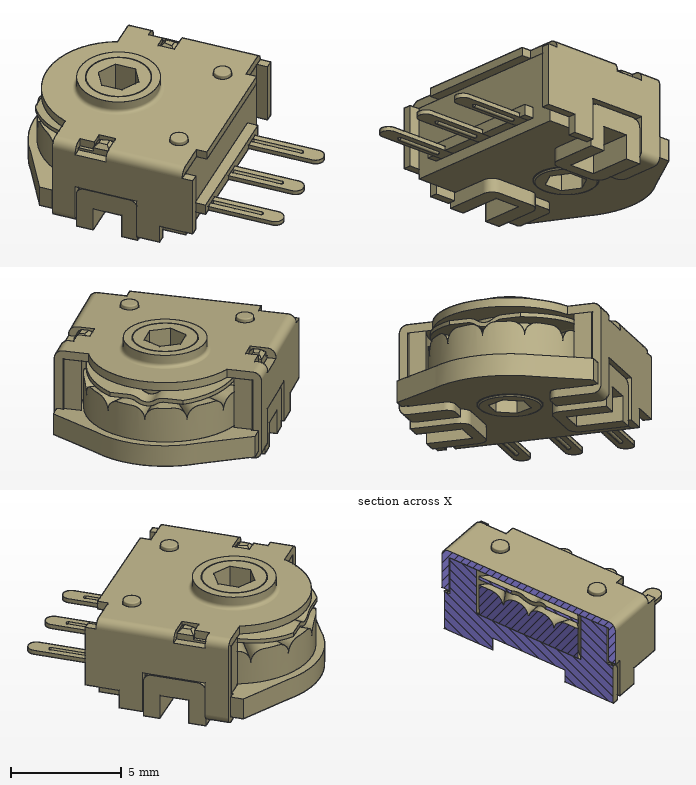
import cadquery as cq
import math


clearance = 0.03

sheet = 0.4
cover_top = 3.92
cover_width = 9.7
cover_front = -1.32
cover_rear = 5.5
plate_rear = 4.99
tongue_width = 6.16
visor_radius = 3.5
step_x = 3.89
step_z = 0.51
wall_bottom = -0.39
window_front = -0.21
window_rear = 2.78
window_top = 1.62
flap_inner_y = 2.29
flap_corner_radius = 0.39
flap_bend_radius = 0.38
hub_diameter = 3.8
hub_top = 4.52
hub_fillet = 0.18

plate_thickness = 1.03
base_front_radius = 4.1
base_ear_half_width = 4.72
base_ear_front = -1.99
base_ear_rear = -1.39
base_bevel_half_width = 2.38
base_half_width = 4.39
cavity_radius = 3.8
foot_bottom = -0.68
foot_top = 1.49
foot_inner_y = 1.96
foot_top_radius = 0.39
foot_inner_radius = 0.52
foot_slot_front = 0.62
foot_slot_rear = 1.99
foot_slot_top = 0.51
foot_slot_inner_y = 2.5
ledge_half_width = 3.25

post_front = 0.48
post_rear = 1.28
post_inner_y = 3.64
post_top = 3.9
post_chamfer = 0.2
relief_inner_y = 4.23
relief_bottom = 3.43

peg_diameter = 0.8
peg_x = 4.0
peg_y = 2.7
peg_top = 4.09
peg_fillet = 0.05

rotor_diameter = 7.4
rotor_disc_top = 2.72
shaft_diameter = 4.15
journal_diameter = 2.95
journal_bottom = -0.09
journal_chamfer = 0.07
hexagon_flats = 1.7
notch_count = 12
notch_radius = 0.62

spring_thickness = 0.2
spring_peak = 3.46
spring_slope = 0.1
spring_half_length = 3.38
spring_side_radius = 3.5
spring_hole_radius = 2.33
spring_centre_offset = 0.33
dimple_half_width = 0.84
dimple_depth = 0.28

pin_pitch = 2.5
pin_width = 0.8
pin_thickness = 0.21
pin_tip = 9.0
bead_radius = 0.1
bead_rear = 8.0
bead_end_chamfer = 0.07

cover_underside = cover_top - sheet
cover_half_width = cover_width / 2
wall_inner_y = cover_half_width - sheet
bearing_diameter = journal_diameter + 2 * clearance
pin_bottom = step_z
pin_places = [-pin_pitch, 0, pin_pitch]
sides = (-1, 1)


def block(x0, x1, y0, y1, z0, z1):
    """Box between two places on each axis."""
    corner = cq.Workplane("XY").box(x1 - x0, y1 - y0, z1 - z0, centered=False)
    return corner.translate((x0, y0, z0))


def side_block(x0, x1, y_inner, y_outer, z0, z1, side):
    """Box on one side of the XZ plane, given by its distances from that plane."""
    near, far = sorted((side * y_inner, side * y_outer))
    return block(x0, x1, near, far, z0, z1)


def cylinder(diameter, z0, z1, x=0, y=0):
    """Upright cylinder."""
    return cq.Workplane("XY", origin=(x, y, z0)).circle(diameter / 2).extrude(z1 - z0)


def make_hub():
    """Collar around the rotor, with a concave fillet at its foot."""
    hub_radius = hub_diameter / 2
    return (
        cq.Workplane("XZ")
        .moveTo(0, cover_underside)
        .lineTo(hub_radius + hub_fillet, cover_underside)
        .lineTo(hub_radius + hub_fillet, cover_top)
        .radiusArc((hub_radius, cover_top + hub_fillet), hub_fillet)
        .lineTo(hub_radius, hub_top)
        .lineTo(0, hub_top)
        .close()
        .revolve(360, (0, 0, 0), (0, 1, 0))
    )


def make_flap(side):
    """Bottom flap in front of the window, folded inward under the base."""
    flap = side_block(
        cover_front, window_front, flap_inner_y, cover_half_width, wall_bottom, 0, side
    )
    inner_face = "<Y" if side > 0 else ">Y"
    outer_face = ">Y" if side > 0 else "<Y"
    flap = flap.faces(inner_face).edges("|Z").edges("<X").fillet(flap_corner_radius)
    return flap.faces(outer_face).edges("<Z").fillet(flap_bend_radius)


def make_cover():
    cover = block(
        cover_front, cover_rear, -cover_half_width, cover_half_width, 0, cover_top
    )
    cover = cover.edges("|X and >Z").fillet(sheet)
    cover = cover.cut(block(cover_front, cover_rear, -wall_inner_y, wall_inner_y, 0, cover_underside))
    cover = cover.union(cylinder(2 * visor_radius, cover_underside, cover_top)).union(make_hub())
    cover = cover.cut(cylinder(bearing_diameter, cover_underside, hub_top))

    for side in sides:
        wall_end = side_block(
            window_rear, step_x, wall_inner_y, cover_half_width, wall_bottom, step_z, side
        )
        below_step = side_block(step_x, cover_rear, wall_inner_y, cover_half_width, 0, step_z, side)
        window = side_block(
            window_front, window_rear, wall_inner_y, cover_half_width, 0, window_top, side
        )
        beside_tongue = side_block(
            plate_rear, cover_rear, tongue_width / 2, cover_half_width, cover_underside, cover_top, side
        )
        bend_opening = side_block(
            window_front, post_rear, wall_inner_y, cover_half_width, relief_bottom, cover_top, side
        )
        relief = side_block(
            window_front, post_rear, relief_inner_y, wall_inner_y, cover_underside, cover_top, side
        )
        post_slot = side_block(
            post_front, post_rear, post_inner_y, wall_inner_y, cover_underside, cover_top, side
        )
        peg_hole = cylinder(
            peg_diameter + 2 * clearance, cover_underside, cover_top, peg_x, side * peg_y
        )
        cover = cover.cut(below_step).cut(window).cut(beside_tongue)
        cover = cover.cut(bend_opening).cut(relief).cut(post_slot).cut(peg_hole)
        cover = cover.union(wall_end).union(make_flap(side))
    return cover


def make_base_plate():
    """Plate with a round, slanted front that sticks out of the cover."""
    bevel_x = -math.sqrt(base_front_radius**2 - base_bevel_half_width**2)
    return (
        cq.Workplane("XY")
        .moveTo(plate_rear, -base_half_width)
        .lineTo(base_ear_rear, -base_half_width)
        .lineTo(base_ear_rear, -base_ear_half_width)
        .lineTo(base_ear_front, -base_ear_half_width)
        .lineTo(bevel_x, -base_bevel_half_width)
        .threePointArc((-base_front_radius, 0), (bevel_x, base_bevel_half_width))
        .lineTo(base_ear_front, base_ear_half_width)
        .lineTo(base_ear_rear, base_ear_half_width)
        .lineTo(base_ear_rear, base_half_width)
        .lineTo(plate_rear, base_half_width)
        .close()
        .extrude(plate_thickness)
    )


def make_foot(side):
    """Foot that reaches out through the window of the cover, above and below the plate."""
    upper = side_block(
        window_front, window_rear, cavity_radius, base_ear_half_width, foot_bottom, foot_top, side
    )
    upper = upper.edges("|Y and >Z").fillet(foot_top_radius)
    lower = side_block(
        window_front, window_rear, foot_inner_y, base_ear_half_width, foot_bottom, 0, side
    )
    inner_face = "<Y" if side > 0 else ">Y"
    lower = lower.faces(inner_face).edges("|Z").fillet(foot_inner_radius)
    return upper.union(lower)


def make_post(side):
    """Post with a tapered head that sits in a slot of the cover."""
    post = side_block(
        post_front, post_rear, post_inner_y, base_half_width, plate_thickness, post_top, side
    )
    return post.faces(">Z").chamfer(post_chamfer)


def make_cavity():
    """Round room for the rotor and the spring; its flared mouth continues the post tapers."""
    mouth_bottom = post_top - post_chamfer
    mouth = (
        cq.Workplane("XY", origin=(0, 0, mouth_bottom))
        .circle(cavity_radius)
        .workplane(offset=post_chamfer)
        .circle(cavity_radius + post_chamfer)
        .loft()
    )
    return cylinder(2 * cavity_radius, plate_thickness, mouth_bottom).union(mouth)


def make_base():
    base = make_base_plate()
    base = base.union(
        block(cover_front, plate_rear, -base_half_width, base_half_width, 0, cover_underside)
    )
    base = base.union(
        block(plate_rear, cover_rear, -ledge_half_width, ledge_half_width, pin_bottom, plate_thickness)
    )
    for side in sides:
        foot_slot = side_block(
            foot_slot_front, foot_slot_rear, foot_slot_inner_y, base_ear_half_width,
            foot_bottom, foot_slot_top, side,
        )
        peg = cylinder(peg_diameter, plate_thickness, peg_top, peg_x, side * peg_y)
        peg = peg.faces(">Z").edges().fillet(peg_fillet)
        base = base.union(make_foot(side)).cut(foot_slot).union(make_post(side)).union(peg)
    base = base.cut(make_cavity())
    base = base.cut(cylinder(bearing_diameter, 0, plate_thickness))
    for y in pin_places:
        base = base.cut(make_pin_blade(y))
    return base


def make_notch(index):
    """Radial detent notch between two rounded flanks, sharp at its bottom."""
    notch_bottom = rotor_disc_top - notch_radius
    notch = (
        cq.Workplane("YZ")
        .moveTo(0, notch_bottom)
        .radiusArc((notch_radius, rotor_disc_top), notch_radius)
        .lineTo(-notch_radius, rotor_disc_top)
        .radiusArc((0, notch_bottom), notch_radius)
        .close()
        .extrude(rotor_diameter)
    )
    return notch.rotate((0, 0, 0), (0, 0, 1), index * 360 / notch_count)


def make_rotor():
    rotor = cylinder(rotor_diameter, plate_thickness, rotor_disc_top)
    for index in range(notch_count):
        rotor = rotor.cut(make_notch(index))
    journal = cylinder(journal_diameter, journal_bottom, hub_top)
    journal = journal.faces("<Z").chamfer(journal_chamfer)
    rotor = rotor.union(cylinder(shaft_diameter, plate_thickness, cover_underside)).union(journal)
    hexagon_corners = hexagon_flats / math.cos(math.pi / 6)
    hexagon = cq.Workplane("XY", origin=(0, 0, journal_bottom)).polygon(6, hexagon_corners)
    return rotor.cut(hexagon.extrude(hub_top - journal_bottom))


def make_spring_wing(direction):
    """Half of the sheet: the cross-section with its dimple, falling away from the fold."""
    edge_y = spring_side_radius
    top = spring_peak
    bottom = spring_peak - spring_thickness

    half_sheet = spring_thickness / 2
    flank_angle = 2 * math.atan(dimple_depth / dimple_half_width)
    flank_radius = dimple_half_width / (2 * math.sin(flank_angle))
    outer_radius = flank_radius + half_sheet
    inner_radius = flank_radius - half_sheet
    inflection_z = top - half_sheet - dimple_depth / 2
    shift_y = half_sheet * math.sin(flank_angle)
    shift_z = half_sheet * math.cos(flank_angle)
    top_y = dimple_half_width / 2 - shift_y
    top_z = inflection_z + shift_z
    bottom_y = dimple_half_width / 2 + shift_y
    bottom_z = inflection_z - shift_z
    section = (
        cq.Workplane("YZ")
        .moveTo(-edge_y, top)
        .lineTo(-dimple_half_width, top)
        .radiusArc((-top_y, top_z), outer_radius)
        .radiusArc((top_y, top_z), -inner_radius)
        .radiusArc((dimple_half_width, top), outer_radius)
        .lineTo(edge_y, top)
        .lineTo(edge_y, bottom)
        .lineTo(dimple_half_width, bottom)
        .radiusArc((bottom_y, bottom_z), -inner_radius)
        .radiusArc((-bottom_y, bottom_z), outer_radius)
        .radiusArc((-dimple_half_width, bottom), -inner_radius)
        .lineTo(-edge_y, bottom)
        .close()
    )
    fall = spring_half_length * spring_slope
    wing = cq.Solid.extrudeLinear(
        section.val(), [], cq.Vector(direction * spring_half_length, 0, -fall)
    )
    return cq.Workplane(wing)


def spring_outline(radius):
    """Upright prism with straight sides and round ends, as tall as the cover."""
    length = 2 * (radius + spring_centre_offset)
    return cq.Workplane("XY").slot2D(length, 2 * radius).extrude(cover_top)


def make_spring():
    sheet_body = make_spring_wing(-1).union(make_spring_wing(1))
    return sheet_body.intersect(spring_outline(spring_side_radius)).cut(
        spring_outline(spring_hole_radius)
    )


def make_pin_blade(y):
    """Flat pin with a round tip, lying in the ledge of the base."""
    round_start = pin_tip - pin_width / 2
    return (
        cq.Workplane("XY", origin=(0, y, pin_bottom))
        .moveTo(plate_rear, -pin_width / 2)
        .lineTo(round_start, -pin_width / 2)
        .threePointArc((pin_tip, 0), (round_start, pin_width / 2))
        .lineTo(plate_rear, pin_width / 2)
        .close()
        .extrude(pin_thickness)
    )


def make_bead(y, z):
    """Rod along the pin with bevelled ends."""
    rod = cq.Workplane("YZ", origin=(cover_rear, y, z)).circle(bead_radius)
    return rod.extrude(bead_rear - cover_rear).edges("%CIRCLE").chamfer(bead_end_chamfer)


def make_pin(y):
    blade = make_pin_blade(y)
    return blade.union(make_bead(y, pin_bottom)).cut(make_bead(y, pin_bottom + pin_thickness))


cover = make_cover()
base = make_base()
rotor = make_rotor()
spring = make_spring()
pins = [make_pin(y) for y in pin_places]

bodies = [cover, base, rotor, spring, *pins]

result = cq.Compound.makeCompound([body.solids().val() for body in bodies])